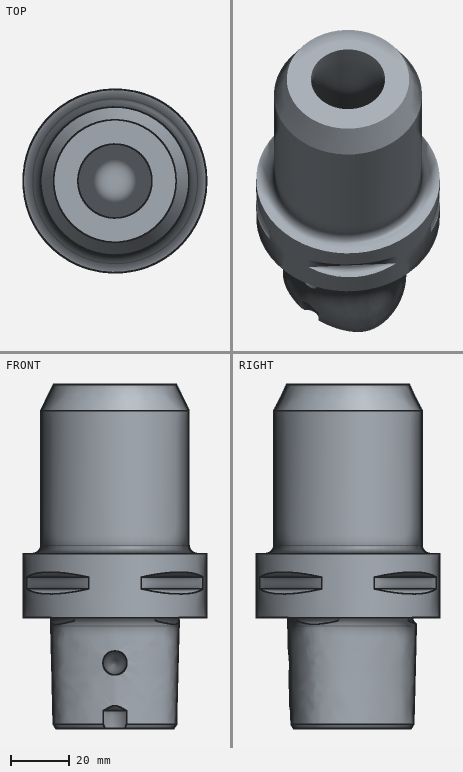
import cadquery as cq
import math

flange_radius = 31.5
flange_height = 22.0
groove_floor_distance = 27.7
groove_floor_height = 4.0
groove_center_z = 11.9
groove_flank_angle = 25.0
groove_angles = (45, 135, 225, 315)

top_z = 80.0
body_radius = 25.4
nose_radius = 21.0
nose_height = 9.0
root_fillet = 2.9
bore_radius = 12.7
bore_depth = 60.0

shank_length = 38.0
shank_radius = 22.0
lobe_height = 1.4
polygon_points = 72
straight_length = 2.8
taper_on_diameter = 1 / 20
end_chamfer_height = 1.5
end_chamfer_width = 1.0

relief_radius = 22.2
relief_floor_height = 0.65
relief_fillet = 1.0

tool_clearance = 1.0

flat_y = -(shank_radius - lobe_height)
hole_radius = 4.1
hole_z = -15.5
hole_depth = 6.5
keyway_radius = 4.4
keyway_axis_y = flat_y - 0.8
keyway_height = 6.1
drill_point_angle = 118.0


def make_body():
    """Flange and holder body as one turned piece, with the tool bore."""
    fillet_mid = root_fillet * (1 - math.sqrt(0.5))
    profile = (
        cq.Workplane("XZ")
        .moveTo(0, 0)
        .lineTo(flange_radius, 0)
        .lineTo(flange_radius, flange_height)
        .lineTo(body_radius + root_fillet, flange_height)
        .threePointArc(
            (body_radius + fillet_mid, flange_height + fillet_mid),
            (body_radius, flange_height + root_fillet),
        )
        .lineTo(body_radius, top_z - nose_height)
        .lineTo(nose_radius, top_z)
        .lineTo(0, top_z)
        .close()
    )
    body = profile.revolve(360, (0, 0, 0), (0, 1, 0))
    bore = cq.Workplane("XY").workplane(offset=top_z).circle(bore_radius).extrude(-bore_depth)
    return body.cut(bore)


def make_gripper_groove(angle):
    """Straight groove of trapezoid section, cut across the flange rim."""
    outer_distance = flange_radius + tool_clearance
    half_floor = groove_floor_height / 2
    flank_run = (outer_distance - groove_floor_distance) * math.tan(math.radians(groove_flank_angle))
    half_mouth = half_floor + flank_run
    return (
        cq.Workplane("XZ")
        .moveTo(groove_floor_distance, groove_center_z - half_floor)
        .lineTo(outer_distance, groove_center_z - half_mouth)
        .lineTo(outer_distance, groove_center_z + half_mouth)
        .lineTo(groove_floor_distance, groove_center_z + half_floor)
        .close()
        .extrude(flange_radius, both=True)
        .rotate((0, 0, 0), (0, 0, 1), angle)
    )


def polygon_wire(mean_radius, z):
    """Three-lobed curve of constant width 2 * mean_radius, starting on the -Y flat."""

    def point(t):
        a = 2 * math.pi * t - math.pi
        along_lobe = mean_radius * math.cos(a) + lobe_height * (2 * math.cos(2 * a) - math.cos(4 * a))
        across_lobe = mean_radius * math.sin(a) - lobe_height * (2 * math.sin(2 * a) + math.sin(4 * a))
        return cq.Vector(-across_lobe, along_lobe, z)

    points = [point(i / polygon_points) for i in range(polygon_points)]
    return cq.Wire.assembleEdges([cq.Edge.makeSpline(points, periodic=True)])


def make_shank():
    """Straight collar, taper and end chamfer, stacked as ruled sections."""
    chamfer_z = -shank_length + end_chamfer_height
    taper_length = -straight_length - chamfer_z
    small_radius = shank_radius - taper_length * taper_on_diameter / 2
    sections = [
        polygon_wire(shank_radius, 0),
        polygon_wire(shank_radius, -straight_length),
        polygon_wire(small_radius, chamfer_z),
        polygon_wire(small_radius - end_chamfer_width, -shank_length),
    ]
    return cq.Workplane(cq.Solid.makeLoft(sections, True))


def make_lobe_relief():
    """Ring with a cylindrical floor, a fillet and a 45 degree cone that clears the lobe tips."""
    half_sweep = math.radians(45 / 2)
    fillet_top_z = -relief_floor_height
    fillet_middle = (
        relief_radius + relief_fillet * (1 - math.cos(half_sweep)),
        fillet_top_z - relief_fillet * math.sin(half_sweep),
    )
    cone_start_radius = relief_radius + relief_fillet * (1 - math.sqrt(0.5))
    cone_start_z = fillet_top_z - relief_fillet * math.sqrt(0.5)
    outer_radius = shank_radius + lobe_height + tool_clearance
    cone_end_z = cone_start_z - (outer_radius - cone_start_radius)
    return (
        cq.Workplane("XZ")
        .moveTo(relief_radius, 0)
        .lineTo(relief_radius, fillet_top_z)
        .threePointArc(fillet_middle, (cone_start_radius, cone_start_z))
        .lineTo(outer_radius, cone_end_z)
        .lineTo(outer_radius, 0)
        .close()
        .revolve(360, (0, 0, 0), (0, 1, 0))
    )


def make_drilled_hole(radius, depth, start, direction):
    """Cylinder with a conical drill point at its far end."""
    point_height = radius / math.tan(math.radians(drill_point_angle / 2))
    barrel = cq.Solid.makeCylinder(radius, depth, start, direction)
    point = cq.Solid.makeCone(radius, 0, point_height, start + direction * depth, direction)
    return cq.Workplane(barrel.fuse(point))


def make_side_hole():
    """Blind hole drilled inward (+Y) through the flat of the shank."""
    start = cq.Vector(0, flat_y - tool_clearance, hole_z)
    return make_drilled_hole(hole_radius, hole_depth + tool_clearance, start, cq.Vector(0, 1, 0))


def make_keyway():
    """Pocket drilled upward from the shank end, with its axis just outside the flat."""
    start = cq.Vector(0, keyway_axis_y, -shank_length)
    return make_drilled_hole(keyway_radius, keyway_height, start, cq.Vector(0, 0, 1))


shank = make_shank().cut(make_lobe_relief()).cut(make_side_hole()).cut(make_keyway())

body = make_body()
for groove_angle in groove_angles:
    body = body.cut(make_gripper_groove(groove_angle))

result = body.union(shank)